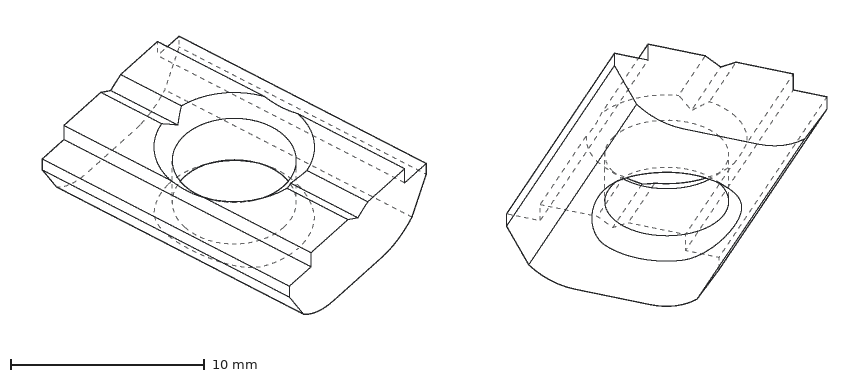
import cadquery as cq
import math

length = 16.0
width = 11.7
height = 4.8

land_width = 8.0
land_height = 1.0
lip_thickness = 0.77

flank_angle = 30.0
flank_height = 2.11
belly_radius = 4.0

groove_width = 1.7
groove_depth = 0.5

hole_diameter = 6.4
countersink_diameter = 8.29
countersink_depth = (countersink_diameter - hole_diameter) / 2

lip_top = height - land_height
flank_top = lip_top - lip_thickness
flank_bottom = flank_top - flank_height
half_width = width / 2
half_land = land_width / 2
half_groove = groove_width / 2
flank_foot = half_width - flank_height * math.tan(math.radians(flank_angle))

belly_angle = math.acos(1 - flank_bottom / belly_radius)
half_flat = flank_foot - belly_radius * math.sin(belly_angle)
belly_mid_y = half_flat + belly_radius * math.sin(belly_angle / 2)
belly_mid_z = belly_radius * (1 - math.cos(belly_angle / 2))


def make_body():
    """Extrude the T-nut profile, including the V groove, along X."""
    return (
        cq.Workplane("YZ")
        .moveTo(-half_flat, 0)
        .lineTo(half_flat, 0)
        .threePointArc((belly_mid_y, belly_mid_z), (flank_foot, flank_bottom))
        .lineTo(half_width, flank_top)
        .lineTo(half_width, lip_top)
        .lineTo(half_land, lip_top)
        .lineTo(half_land, height)
        .lineTo(half_groove, height)
        .lineTo(0, height - groove_depth)
        .lineTo(-half_groove, height)
        .lineTo(-half_land, height)
        .lineTo(-half_land, lip_top)
        .lineTo(-half_width, lip_top)
        .lineTo(-half_width, flank_top)
        .lineTo(-flank_foot, flank_bottom)
        .threePointArc((-belly_mid_y, belly_mid_z), (-half_flat, 0))
        .close()
        .extrude(length / 2, both=True)
    )


def make_hole_cutter():
    """Revolve the hole and its two countersinks about Z."""
    hole_radius = hole_diameter / 2
    countersink_radius = countersink_diameter / 2
    return (
        cq.Workplane("XZ")
        .moveTo(0, 0)
        .lineTo(countersink_radius, 0)
        .lineTo(hole_radius, countersink_depth)
        .lineTo(hole_radius, height - countersink_depth)
        .lineTo(countersink_radius, height)
        .lineTo(0, height)
        .close()
        .revolve(360, (0, 0), (0, 1))
    )


result = make_body().cut(make_hole_cutter())